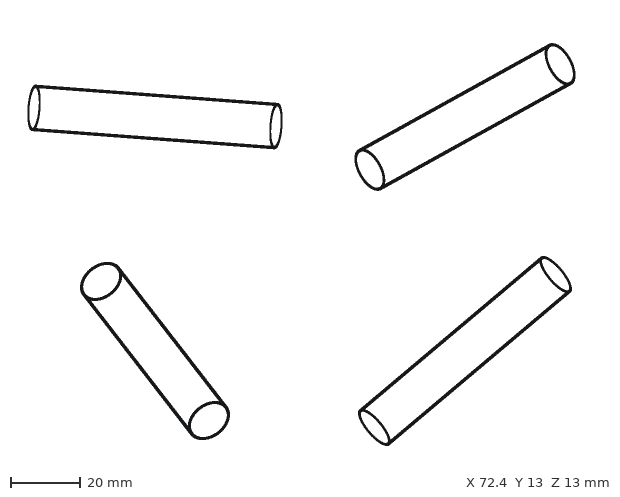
import cadquery as cq

length = 72.4
outer_diameter = 13.0
wall_thickness = 0.5
inner_diameter = outer_diameter - 2 * wall_thickness


def make_tube():
    """Annular section at the -X end, extruded along X in one piece."""
    end_plane = cq.Workplane("YZ", origin=(-length / 2, 0, 0))
    section = end_plane.circle(outer_diameter / 2).circle(inner_diameter / 2)
    return section.extrude(length)


result = make_tube()